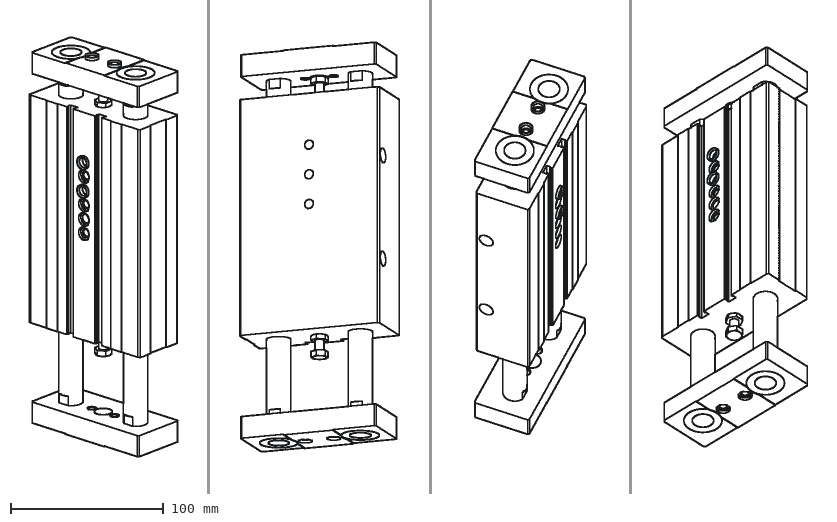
import cadquery as cq
import math


rod_spacing = 57.2
rod_d = 16.0
rod_end_d = 14.0
piston_d = 32.0
piston_length = 60.0
piston_bottom = 10.0
flat_width = 14.0
flat_length = 6.4

housing_width = 98.0
housing_length = 159.2
housing_back = 19.2
housing_front = -18.5
back_chamfer = 1.2
front_chamfer_x = 1.6
front_chamfer_y = 0.6
strip_height = 0.4
rod_strip_width = 9.6
rod_strip_x = 28.4
strip_front = housing_front - strip_height

slot_x = 12.5
slot_neck_width = 5.0
slot_neck_depth = 1.6
slot_mouth_chamfer = 0.5
slot_cavity_width = 6.4
slot_depth = 4.0
centre_strip_width = 2 * slot_x - slot_neck_width

side_groove_width = 15.2
side_groove_depth = 0.7

port_d = 9.7
port_depth = 12.9
port_y = 11.7
port_from_end = 44.8
drill_tip_angle = 118.0

sleeve_od = 9.0
sleeve_id = 6.4
sleeve_length = 4.0
housing_seat_depth = 2.1
plate_seat_depth = 1.9
sleeve_tip_d = 8.88
sleeve_tip_length = 0.8
sleeve_mouth_d = 8.57
sleeve_mouth_depth = (sleeve_mouth_d - sleeve_id) / 2
hole_pitch = 10.0
hole_count = 6
first_hole_from_top = 34.8
thread_d = 6.0
thread_core_d = 4.92
thread_chamfer = (thread_d - thread_core_d) / 2
blind_hole_depth = 12.0

plate_width = 95.0
plate_back = 21.0
plate_front = -18.0
plate_thickness = 14.7
plate_edge_chamfer = 1.0
pad_width = 34.4
pad_height = 0.4
rod_recess_d = 25.0
rod_recess_depth = 0.2
plate_hole_spacing = 20.0
stop_disc_d = 12.0
stop_disc_height = 0.2

top_gap = 15.0
bottom_gap = 55.2
top_plate_z = housing_length + top_gap
bottom_plate_z = -bottom_gap

screw_d = 6.0
hex_across_flats = 10.0
hex_across_corners = hex_across_flats / math.cos(math.pi / 6)
hex_chamfer_angle = 30.0
screw_head_height = 4.0
nut_height = 3.2
screw_reach = top_gap - stop_disc_height
screw_engagement = 12.0

rod_xs = [-rod_spacing / 2, rod_spacing / 2]
hole_zs = [housing_length - first_hole_from_top - i * hole_pitch for i in range(hole_count)]
through_hole_zs = hole_zs[0::2]
blind_hole_zs = hole_zs[1::2]
sleeve_zs = through_hole_zs[:2]
plate_hole_xs = [-plate_hole_spacing / 2, plate_hole_spacing / 2]


def box(x0, x1, y0, y1, z0, z1):
    """Box between two corners."""
    return cq.Workplane("XY").box(x1 - x0, y1 - y0, z1 - z0, centered=False).translate((x0, y0, z0))


def cylinder(diameter, z0, z1, x=0.0):
    """Upright cylinder between two heights, its axis in the plane Y = 0."""
    return cq.Workplane("XY").center(x, 0).circle(diameter / 2).extrude(z1 - z0).translate((0, 0, z0))


def facing_front(tool, z):
    """Turn a tool that points down from Z = 0 so that it enters the housing's front strip at height z."""
    return tool.rotate((0, 0, 0), (1, 0, 0), 90).translate((0, strip_front, z))


def drill(diameter, depth):
    """Drill with a conical tip, its full diameter reaching from Z = 0 down to the given depth."""
    radius = diameter / 2
    tip = radius / math.tan(math.radians(drill_tip_angle / 2))
    profile = [(0, 0), (radius, 0), (radius, -depth), (0, -depth - tip)]
    return cq.Workplane("XZ").polyline(profile).close().revolve(360, (0, 0), (0, 1))


def countersink():
    """Lead-in cone of a threaded hole, opening at Z = 0."""
    profile = [(0, 0), (thread_d / 2, 0), (thread_core_d / 2, -thread_chamfer), (0, -thread_chamfer)]
    return cq.Workplane("XZ").polyline(profile).close().revolve(360, (0, 0), (0, 1))


def sleeve_seat(depth):
    """Seat bored down from Z = 0."""
    return cylinder(sleeve_od, -depth, 0)


def sensor_slot(x):
    """T-slot with a chamfered mouth, along the whole housing."""
    neck = slot_neck_width / 2
    mouth = neck + slot_mouth_chamfer
    cavity = slot_cavity_width / 2
    y_open = strip_front
    y_mouth = housing_front + slot_mouth_chamfer
    y_neck = housing_front + slot_neck_depth
    y_floor = housing_front + slot_depth
    right_half = [
        (mouth, y_open), (mouth, housing_front), (neck, y_mouth),
        (neck, y_neck), (cavity, y_neck), (cavity, y_floor),
    ]
    left_half = [(-px, py) for px, py in reversed(right_half)]
    profile = [(x + px, py) for px, py in right_half + left_half]
    return cq.Workplane("XY").polyline(profile).close().extrude(housing_length)


def make_housing():
    half = housing_width / 2
    right_half = [
        (half - front_chamfer_x, housing_front), (half, housing_front + front_chamfer_y),
        (half, housing_back - back_chamfer), (half - back_chamfer, housing_back),
    ]
    left_half = [(-px, py) for px, py in reversed(right_half)]
    body = cq.Workplane("XY").polyline(right_half + left_half).close().extrude(housing_length)

    strips = [(-rod_strip_x, rod_strip_width), (0, centre_strip_width), (rod_strip_x, rod_strip_width)]
    for x, width in strips:
        body = body.union(
            box(x - width / 2, x + width / 2, strip_front, housing_front, 0, housing_length)
        )
    for x in (-slot_x, slot_x):
        body = body.cut(sensor_slot(x))

    groove = side_groove_width / 2
    body = body.cut(box(half - side_groove_depth, half, -groove, groove, 0, housing_length))

    for x in rod_xs:
        body = body.cut(cylinder(rod_d, 0, housing_length, x))
        body = body.cut(cylinder(piston_d, piston_bottom, piston_bottom + piston_length, x))

    for z in (port_from_end, housing_length - port_from_end):
        port = drill(port_d, port_depth).rotate((0, 0, 0), (0, 1, 0), -90)
        body = body.cut(port.translate((-half, port_y, z)))

    for z in hole_zs:
        body = body.cut(facing_front(sleeve_seat(housing_seat_depth), z))
    for z in through_hole_zs:
        depth = housing_back - strip_front
        body = body.cut(facing_front(cylinder(thread_d, -depth, 0), z))
    for z in blind_hole_zs:
        hole = drill(thread_core_d, blind_hole_depth - housing_seat_depth).union(countersink())
        body = body.cut(facing_front(hole.translate((0, 0, -housing_seat_depth)), z))

    body = body.cut(cylinder(screw_d, 0, screw_engagement))
    return body.cut(cylinder(screw_d, housing_length - screw_engagement, housing_length))


def make_plate():
    """Yoke plate with its inner face at Z = 0 and its padded outer face up."""
    half = plate_width / 2
    plate = box(-half, half, plate_front, plate_back, 0, plate_thickness)
    plate = plate.edges("|Z").chamfer(plate_edge_chamfer)
    pad_top = plate_thickness + pad_height
    plate = plate.union(
        box(-pad_width / 2, pad_width / 2, plate_front, plate_back, plate_thickness, pad_top)
    )
    recess_floor = plate_thickness - rod_recess_depth
    for x in rod_xs:
        plate = plate.cut(cylinder(rod_recess_d, recess_floor, pad_top, x))
        plate = plate.union(cylinder(rod_end_d, recess_floor, plate_thickness, x))
    plate = plate.union(cylinder(stop_disc_d, -stop_disc_height, 0))
    for x in plate_hole_xs:
        plate = plate.cut(cylinder(thread_core_d, -stop_disc_height, pad_top, x))
        plate = plate.cut(countersink().mirror("XY").translate((x, 0, 0)))
        plate = plate.cut(countersink().translate((x, 0, pad_top - plate_seat_depth)))
        plate = plate.cut(sleeve_seat(plate_seat_depth).translate((x, 0, pad_top)))
    return plate


def make_rod(x):
    """Rod with its piston and a pair of spanner flats next to each plate."""
    rod = cylinder(rod_d, bottom_plate_z, top_plate_z, x)
    r = rod_d / 2
    for z in (bottom_plate_z, top_plate_z - flat_length):
        for side in (-1, 1):
            y0, y1 = sorted((side * flat_width / 2, side * r))
            rod = rod.cut(box(x - r, x + r, y0, y1, z, z + flat_length))
    return rod.union(cylinder(piston_d, piston_bottom, piston_bottom + piston_length, x))


def make_carriage():
    """Both yoke plates joined by the two rods."""
    top_plate = make_plate().translate((0, 0, top_plate_z))
    bottom_plate = make_plate().mirror("XY").translate((0, 0, bottom_plate_z))
    carriage = top_plate.union(bottom_plate)
    for x in rod_xs:
        carriage = carriage.union(make_rod(x))
    return carriage


def make_sleeve(seat_depth):
    """Centring sleeve with a tapered tip and a conical mouth, in a seat whose rim is at Z = 0."""
    tip_z = sleeve_length - seat_depth
    profile = [
        (sleeve_id / 2, -seat_depth),
        (sleeve_od / 2, -seat_depth),
        (sleeve_od / 2, tip_z - sleeve_tip_length),
        (sleeve_tip_d / 2, tip_z),
        (sleeve_mouth_d / 2, tip_z),
        (sleeve_id / 2, tip_z - sleeve_mouth_depth),
    ]
    return cq.Workplane("XZ").polyline(profile).close().revolve(360, (0, 0), (0, 1))


def hexagon(height):
    """Hexagonal prism up from Z = 0, two flats facing -X and +X, its upper corners turned to a cone."""
    prism = cq.Workplane("XY").polygon(6, hex_across_corners).extrude(height)
    prism = prism.rotate((0, 0, 0), (0, 0, 1), 30)
    corner_r = hex_across_corners / 2
    face_r = hex_across_flats / 2
    cone_drop = (corner_r - face_r) * math.tan(math.radians(hex_chamfer_angle))
    profile = [(0, 0), (corner_r, 0), (corner_r, height - cone_drop), (face_r, height), (0, height)]
    return prism.intersect(cq.Workplane("XZ").polyline(profile).close().revolve(360, (0, 0), (0, 1)))


def make_stop_screw():
    """Stop screw with its head up, the housing face being at Z = 0."""
    shank = cylinder(screw_d, -screw_engagement, screw_reach)
    head = hexagon(screw_head_height).translate((0, 0, screw_reach - screw_head_height))
    return shank.union(head)


def make_lock_nut():
    """Lock nut on the housing face at Z = 0, its turned corners towards the housing."""
    nut = hexagon(nut_height).mirror("XY").translate((0, 0, nut_height))
    return nut.cut(cylinder(screw_d, 0, nut_height))


def at_housing_ends(part):
    """Copies of a part at the housing's top face and, mirrored, at its bottom face."""
    return [part.translate((0, 0, housing_length)), part.mirror("XY")]


housing = make_housing()
carriage = make_carriage()
plate_sleeve = make_sleeve(plate_seat_depth)
housing_sleeve = make_sleeve(housing_seat_depth)
plate_sleeves = [
    plate_sleeve.translate((x, 0, top_plate_z + plate_thickness + pad_height)) for x in plate_hole_xs
]
housing_sleeves = [facing_front(housing_sleeve, z) for z in sleeve_zs]
stop_screws = at_housing_ends(make_stop_screw())
lock_nuts = at_housing_ends(make_lock_nut())

bodies = [housing, carriage, *plate_sleeves, *housing_sleeves, *stop_screws, *lock_nuts]
result = cq.Compound.makeCompound([body.val() for body in bodies])